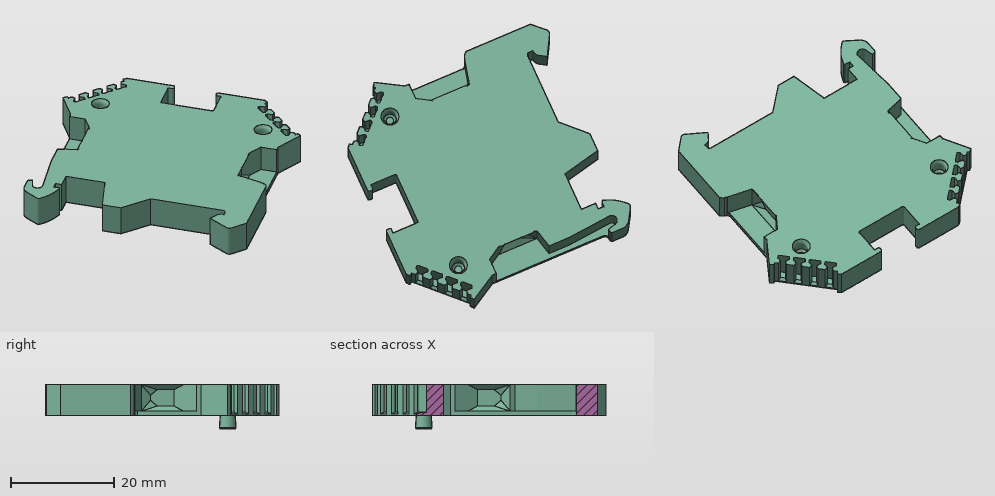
import cadquery as cq
import math


WIDTH = 48.0
HEIGHT = 45.35
THICKNESS = 6.05
PIN_LENGTH = 2.55

SHOULDER_X = 20.95
SHOULDER_Y = 30.2
FLANK_TIP = (WIDTH / 2, 35.4)
FLANK_RIDGE = (23.3, 35.9)
FLANK_START = (22.95, 35.55)
FLANK_RUN = 8.75
TOP_RIDGE = (14.6, 44.85)
TOP_CORNER_X = 13.9

NOTCH_HALF_WIDTH = 5.35
NOTCH_FLOOR_Y = 39.0
NOTCH_CORNER_RADIUS = 0.3
LIP_X = 4.2
LIP_HEIGHT = 1.05
LIP_CORNER_RADIUS = 0.35

SEAT_Y = 5.95
LEFT_SEAT_X = -15.7
LEFT_SEAT_TOP_Y = 9.0
LEFT_FOOT_X = -22.45
CATCH_DEPTH = 1.25
CATCH_HEIGHT = 1.2
LEFT_HOOK_POINT = (-18.45, 0.1)
TONGUE_TOP_LEFT_X = -7.85
TONGUE_BOTTOM_Y = 1.3
TONGUE_BOTTOM_LEFT_X = -6.15
TONGUE_BOTTOM_RIGHT_X = -2.4
TONGUE_TOP_RIGHT_X = 2.25
RIGHT_SIDE_X = 22.5
RIGHT_HOOK_TIP = (15.2, 2.6)
RIGHT_CORNER_Y = 2.95
RIGHT_SHOULDER_Y = 16.55
RIGHT_LEDGE = (21.25, 17.4)
RIGHT_WALL_END_Y = 17.9
RIGHT_CATCH_X = 17.4

RECESS_FLOOR_Z = 0.85
RECESS_TOP_Y = 29.35
RECESS_TOP_X = 17.75
RECESS_BACK_X = 16.2
RECESS_BACK_TOP_Y = 26.85
RECESS_BACK_BOTTOM_Y = 18.6
RECESS_RAMP_SLOPE = 0.24
RECESS_OUTER_X = 28.8

FUNNEL_DEPTH = 1.15
FUNNEL_FLOOR_BEND_Y = 21.7
FUNNEL_FLOOR_END_Y = 20.4
FUNNEL_FLOOR_HALF_HEIGHT = 1.6
FUNNEL_END_HALF_HEIGHT = 0.5

SLOT_X = -19.95
SLOT_BEND_Y = 13.4
SLOT_END_ARC = [(-19.15, 4.6), (-20.0, 3.5), (-21.1, 4.25)]
SLOT_MOUTH = (-21.55, 5.85)
LEFT_WALL_END_Y = 6.75

MARKER_COUNT = 4
MARKER_ANGLE = 135
MARKER_PITCH = 3.05
MARKER_MOUTH_HALF_WIDTH = 0.8
MARKER_NECK_HALF_WIDTH = 0.5
MARKER_HALF_WIDTH = 1.15
MARKER_NECK_DEPTH = 0.6
MARKER_SIDE_DEPTH = 1.35
MARKER_DEPTH = 1.9
MARKER_CORNER_RADIUS = 0.3
MARKER_EDGE_Z = 0.35
MARKER_FLOOR_Z = 0.65

PIN_X = 16.4
PIN_Y = 35.4
PIN_ROOT_RADIUS = 1.5
PIN_RADIUS = 1.65
PIN_CHAMFER = 0.3
SOCKET_RADIUS = 1.75
SOCKET_THROAT_RADIUS = 1.35
SOCKET_THROAT_DEPTH = 0.6
SOCKET_SEAT_RADIUS = 1.25
SOCKET_SEAT_DEPTH = 0.9
SOCKET_BORE_DEPTH = 2.55
SOCKET_END_RADIUS = 0.7
SOCKET_DEPTH = 2.95


def mirror_x(points):
    return [(-x, y) for x, y in points]


def plate():
    flank_end = (FLANK_START[0] - FLANK_RUN, FLANK_START[1] + FLANK_RUN)
    right_half_top = [
        (SHOULDER_X, SHOULDER_Y),
        FLANK_TIP,
        FLANK_RIDGE,
        FLANK_START,
        flank_end,
        TOP_RIDGE,
        (TOP_CORNER_X, HEIGHT),
    ]
    left_half_top = mirror_x(reversed(right_half_top))
    catch_x = LEFT_SEAT_X - CATCH_DEPTH
    catch_bottom_y = SEAT_Y - CATCH_HEIGHT
    outline = (
        cq.Workplane("XY")
        .polyline(left_half_top)
        .lineTo(-SHOULDER_X, LEFT_WALL_END_Y)
        .threePointArc((-21.1, 6.15), SLOT_MOUTH)
        .lineTo(LEFT_FOOT_X + 0.3, 5.75)
        .lineTo(LEFT_FOOT_X, 5.45)
        .lineTo(LEFT_FOOT_X, 3.05)
        .threePointArc((-22.2, 2.2), (-21.45, 1.55))
        .lineTo(-19.1, 0.1)
        .threePointArc((-18.75, 0.0), LEFT_HOOK_POINT)
        .threePointArc((-16.75, 2.1), (LEFT_SEAT_X, 4.5))
        .lineTo(LEFT_SEAT_X - 0.2, catch_bottom_y)
        .lineTo(catch_x, catch_bottom_y)
        .lineTo(catch_x, SEAT_Y)
        .lineTo(LEFT_SEAT_X, SEAT_Y)
        .lineTo(LEFT_SEAT_X, LEFT_SEAT_TOP_Y)
        .lineTo(TONGUE_TOP_LEFT_X, LEFT_SEAT_TOP_Y)
        .lineTo(TONGUE_BOTTOM_LEFT_X, TONGUE_BOTTOM_Y)
        .lineTo(TONGUE_BOTTOM_RIGHT_X, TONGUE_BOTTOM_Y)
        .lineTo(TONGUE_TOP_RIGHT_X, SEAT_Y)
        .lineTo(16.75, SEAT_Y)
        .threePointArc((17.2, 5.85), (RIGHT_CATCH_X, 5.55))
        .lineTo(RIGHT_CATCH_X, 4.65)
        .threePointArc((16.6, 4.45), (16.05, 3.9))
        .lineTo(*RIGHT_HOOK_TIP)
        .lineTo(19.1, 0.4)
        .threePointArc((19.7, 0.25), (20.25, 0.6))
        .lineTo(RIGHT_SIDE_X, RIGHT_CORNER_Y)
        .lineTo(RIGHT_SIDE_X, RIGHT_SHOULDER_Y)
        .threePointArc((22.2, 16.95), (21.8, 17.25))
        .lineTo(*RIGHT_LEDGE)
        .lineTo(SHOULDER_X, RIGHT_WALL_END_Y)
        .polyline(right_half_top, includeCurrent=True)
        .close()
    )
    return outline.extrude(THICKNESS)


def top_notch():
    notch = (
        cq.Workplane("XY")
        .center(0, (NOTCH_FLOOR_Y + HEIGHT) / 2)
        .rect(2 * NOTCH_HALF_WIDTH, HEIGHT - NOTCH_FLOOR_Y)
        .extrude(THICKNESS)
        .edges("|Z and <Y")
        .fillet(NOTCH_CORNER_RADIUS)
    )
    for side in (-1, 1):
        lip = (
            cq.Workplane("XY")
            .center(side * (LIP_X + NOTCH_HALF_WIDTH) / 2, HEIGHT - LIP_HEIGHT / 2)
            .rect(NOTCH_HALF_WIDTH - LIP_X, LIP_HEIGHT)
            .extrude(THICKNESS)
            .edges("|Z and " + ("<X" if side > 0 else ">X"))
            .fillet(LIP_CORNER_RADIUS)
        )
        notch = notch.cut(lip)
    return notch


def recess(lower_wall_x):
    """Right-hand recess whose sloping lower wall ends at lower_wall_x."""
    lower_wall_y = RECESS_BACK_BOTTOM_Y - RECESS_RAMP_SLOPE * (lower_wall_x - RECESS_BACK_X)
    return (
        cq.Workplane("XY")
        .workplane(offset=RECESS_FLOOR_Z)
        .polyline([
            (RECESS_OUTER_X, RECESS_TOP_Y),
            (RECESS_TOP_X, RECESS_TOP_Y),
            (RECESS_BACK_X, RECESS_BACK_TOP_Y),
            (RECESS_BACK_X, RECESS_BACK_BOTTOM_Y),
            (lower_wall_x, lower_wall_y),
            (RECESS_OUTER_X, lower_wall_y),
        ])
        .close()
        .extrude(THICKNESS - RECESS_FLOOR_Z)
    )


def funnel():
    """Right-hand funnel; its upper wall continues the slanted wall of the recess."""
    middle_z = (RECESS_FLOOR_Z + THICKNESS) / 2
    mouth_half_height = (THICKNESS - RECESS_FLOOR_Z) / 2
    floor_x = RECESS_BACK_X - FUNNEL_DEPTH
    wall_slope = (RECESS_TOP_Y - RECESS_BACK_TOP_Y) / (RECESS_TOP_X - RECESS_BACK_X)
    floor_top_y = RECESS_BACK_TOP_Y - wall_slope * FUNNEL_DEPTH

    def corner_pair(x, y, half_height):
        return [cq.Vector(x, y, middle_z + sign * half_height) for sign in (-1, 1)]

    mouth_top = corner_pair(RECESS_BACK_X, RECESS_BACK_TOP_Y, mouth_half_height)
    mouth_end = corner_pair(RECESS_BACK_X, RECESS_BACK_BOTTOM_Y, mouth_half_height)
    floor_top = corner_pair(floor_x, floor_top_y, FUNNEL_FLOOR_HALF_HEIGHT)
    floor_bend = corner_pair(floor_x, FUNNEL_FLOOR_BEND_Y, FUNNEL_FLOOR_HALF_HEIGHT)
    floor_end = corner_pair(floor_x, FUNNEL_FLOOR_END_Y, FUNNEL_END_HALF_HEIGHT)

    polygons = [
        mouth_top + mouth_end[::-1],
        floor_top + [floor_bend[1]] + floor_end[::-1] + [floor_bend[0]],
        mouth_top + floor_top[::-1],
        mouth_end + floor_end[::-1],
    ]
    for level in (0, 1):
        polygons.append([mouth_top[level], mouth_end[level], floor_bend[level], floor_top[level]])
        polygons.append([mouth_end[level], floor_end[level], floor_bend[level]])
    faces = [cq.Face.makeFromWires(cq.Wire.makePolygon(p, close=True)) for p in polygons]
    return cq.Workplane(cq.Solid.makeSolid(cq.Shell.makeShell(faces)))


def spring_slot():
    return (
        cq.Workplane("XY")
        .workplane(offset=RECESS_FLOOR_Z)
        .moveTo(-RECESS_OUTER_X, RECESS_BACK_TOP_Y)
        .lineTo(SLOT_X, RECESS_BACK_TOP_Y)
        .lineTo(SLOT_X, SLOT_BEND_Y)
        .lineTo(*SLOT_END_ARC[0])
        .threePointArc(*SLOT_END_ARC[1:])
        .lineTo(*SLOT_MOUTH)
        .lineTo(SLOT_MOUTH[0], LEFT_WALL_END_Y)
        .lineTo(-RECESS_OUTER_X, LEFT_WALL_END_Y)
        .close()
        .extrude(THICKNESS - RECESS_FLOOR_Z)
    )


def marker_pocket():
    """Pocket at the origin, entering the part along +Y from a flank that lies on the X axis."""
    chamber = (
        cq.Workplane("XY")
        .workplane(offset=MARKER_FLOOR_Z)
        .polyline([
            (-MARKER_NECK_HALF_WIDTH, MARKER_NECK_DEPTH),
            (-MARKER_HALF_WIDTH, MARKER_SIDE_DEPTH),
            (-MARKER_HALF_WIDTH, MARKER_DEPTH),
            (MARKER_HALF_WIDTH, MARKER_DEPTH),
            (MARKER_HALF_WIDTH, MARKER_SIDE_DEPTH),
            (MARKER_NECK_HALF_WIDTH, MARKER_NECK_DEPTH),
        ])
        .close()
        .extrude(THICKNESS - MARKER_FLOOR_Z)
        .edges("|Z and >Y")
        .fillet(MARKER_CORNER_RADIUS)
    )
    mouth = (
        cq.Workplane("XY")
        .polyline([
            (-MARKER_MOUTH_HALF_WIDTH, 0),
            (-MARKER_NECK_HALF_WIDTH, MARKER_NECK_DEPTH),
            (MARKER_NECK_HALF_WIDTH, MARKER_NECK_DEPTH),
            (MARKER_MOUTH_HALF_WIDTH, 0),
        ])
        .close()
        .extrude(THICKNESS)
    )
    ramp = (
        cq.Workplane("YZ")
        .polyline([
            (0, 0),
            (0, MARKER_EDGE_Z),
            (MARKER_NECK_DEPTH, MARKER_FLOOR_Z),
            (MARKER_NECK_DEPTH, 0),
        ])
        .close()
        .extrude(MARKER_MOUTH_HALF_WIDTH, both=True)
    )
    return chamber.union(mouth.cut(ramp))


def marker_row():
    """Pockets along the right flank."""
    flank_middle = (FLANK_START[0] - FLANK_RUN / 2, FLANK_START[1] + FLANK_RUN / 2)
    diagonal = math.sqrt(0.5)
    row = cq.Workplane("XY")
    for index in range(MARKER_COUNT):
        along = (index - (MARKER_COUNT - 1) / 2) * MARKER_PITCH
        place = (flank_middle[0] - along * diagonal, flank_middle[1] + along * diagonal, 0)
        row = row.add(marker_pocket().rotate((0, 0, 0), (0, 0, 1), MARKER_ANGLE).translate(place))
    return row.combine()


def pin():
    """Slightly flared pin below the right side of the plate."""
    return (
        cq.Workplane("XZ")
        .polyline([
            (0, 0),
            (PIN_ROOT_RADIUS, 0),
            (PIN_RADIUS, PIN_CHAMFER - PIN_LENGTH),
            (PIN_ROOT_RADIUS, -PIN_LENGTH),
            (0, -PIN_LENGTH),
        ])
        .close()
        .revolve(360, (0, 0), (0, 1))
        .translate((PIN_X, PIN_Y, 0))
    )


def socket():
    """Countersunk blind hole with a tapered bottom in the top face, above the right pin."""
    return (
        cq.Workplane("XZ")
        .polyline([
            (0, 0),
            (SOCKET_RADIUS, 0),
            (SOCKET_THROAT_RADIUS, -SOCKET_THROAT_DEPTH),
            (SOCKET_SEAT_RADIUS, -SOCKET_SEAT_DEPTH),
            (SOCKET_SEAT_RADIUS, -SOCKET_BORE_DEPTH),
            (SOCKET_END_RADIUS, -SOCKET_DEPTH),
            (0, -SOCKET_DEPTH),
        ])
        .close()
        .revolve(360, (0, 0), (0, 1))
        .translate((PIN_X, PIN_Y, THICKNESS))
    )


result = plate().cut(top_notch()).cut(spring_slot())
result = result.cut(recess(RIGHT_SIDE_X)).cut(recess(-SLOT_X).mirror("YZ"))

for cutter in (funnel(), marker_row(), socket()):
    result = result.cut(cutter).cut(cutter.mirror("YZ"))

result = result.union(pin()).union(pin().mirror("YZ"))